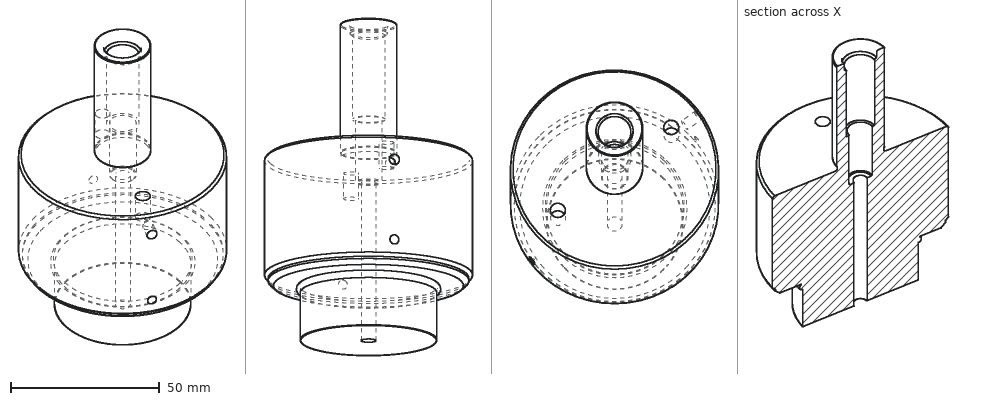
import cadquery as cq
import math

total_height = 109.0
body_bottom = 19.0
lower_step_bottom = 20.6
lower_step_top = 21.4
body_top = 63.0

body_radius = 70.0 / 2
body_top_chamfer = 0.9
step_radius = 33.8
bottom_chamfer = 1.9
step_chamfer = body_radius - step_radius

spigot_radius = 46.0 / 2
spigot_chamfer = 0.2
ring_section_radius = 1.25
ring_drop = 1.2
ring_height = body_bottom - ring_drop

stem_radius = 19.1 / 2
stem_end_chamfer = 0.3
neck_radius = 18.7 / 2
neck_fillet = 0.7
neck_top = 64.6
stem_foot = neck_top + stem_end_chamfer

mouth_radius = 12.5 / 2
mouth_rounding = 1.0
mouth_depth = 3.0
stem_bore_radius = 11.0 / 2
seat_half_angle = math.radians(45)
seat_depth = mouth_depth + (mouth_radius - stem_bore_radius) / math.tan(seat_half_angle)
stem_bore_depth = 32.7
middle_bore_radius = 9.0 / 2
middle_bore_depth = 54.5
middle_bore_chamfer = 0.3
through_radius = 5.0 / 2

pin_hole_diameter = 5.0
pin_hole_depth = 8.7
pin_hole_offset = 24.0

dimple_radius = 3.2 / 2
dimple_half_angle = math.radians(59)
dimple_depth = dimple_radius / math.tan(dimple_half_angle)
dimple_height = 27.1

side_hole_diameter = 3.5
side_hole_depth = 5.5
side_hole_height = 54.7


def rounding_midpoint_offset(radius):
    return radius * (1 - math.sqrt(0.5))


def turned_body():
    ring_start_radius = spigot_radius + math.sqrt(
        ring_section_radius**2 - ring_drop**2
    )
    diagonal = rounding_midpoint_offset(neck_fillet)
    return (
        cq.Workplane("XZ")
        .lineTo(spigot_radius - spigot_chamfer, 0)
        .lineTo(spigot_radius, spigot_chamfer)
        .lineTo(spigot_radius, ring_height - ring_section_radius)
        .threePointArc(
            (spigot_radius + ring_section_radius, ring_height),
            (ring_start_radius, body_bottom),
        )
        .lineTo(step_radius - bottom_chamfer, body_bottom)
        .lineTo(step_radius, lower_step_bottom)
        .lineTo(step_radius, lower_step_top)
        .lineTo(body_radius, lower_step_top + step_chamfer)
        .lineTo(body_radius, body_top - body_top_chamfer)
        .lineTo(body_radius - body_top_chamfer, body_top)
        .lineTo(neck_radius + neck_fillet, body_top)
        .threePointArc(
            (neck_radius + diagonal, body_top + diagonal),
            (neck_radius, body_top + neck_fillet),
        )
        .lineTo(neck_radius, neck_top)
        .lineTo(stem_radius, stem_foot)
        .lineTo(stem_radius, total_height - stem_end_chamfer)
        .lineTo(stem_radius - stem_end_chamfer, total_height)
        .lineTo(0, total_height)
        .close()
        .revolve(360, (0, 0, 0), (0, 1, 0))
    )


def axial_bore():
    diagonal = rounding_midpoint_offset(mouth_rounding)
    return (
        cq.Workplane("XZ")
        .lineTo(through_radius, 0)
        .lineTo(through_radius, total_height - middle_bore_depth)
        .lineTo(middle_bore_radius - middle_bore_chamfer, total_height - middle_bore_depth)
        .lineTo(middle_bore_radius, total_height - middle_bore_depth + middle_bore_chamfer)
        .lineTo(middle_bore_radius, total_height - stem_bore_depth)
        .lineTo(stem_bore_radius, total_height - stem_bore_depth)
        .lineTo(stem_bore_radius, total_height - seat_depth)
        .lineTo(mouth_radius, total_height - mouth_depth)
        .lineTo(mouth_radius, total_height - mouth_rounding)
        .threePointArc(
            (mouth_radius + diagonal, total_height - diagonal),
            (mouth_radius + mouth_rounding, total_height),
        )
        .lineTo(0, total_height)
        .close()
        .revolve(360, (0, 0, 0), (0, 1, 0))
    )


def pin_holes():
    return (
        cq.Workplane("XY", origin=(0, 0, body_top))
        .pushPoints([(-pin_hole_offset, 0), (pin_hole_offset, 0)])
        .circle(pin_hole_diameter / 2)
        .extrude(-pin_hole_depth)
    )


def dimple(side):
    cone = cq.Solid.makeCone(
        dimple_radius,
        0,
        dimple_depth,
        cq.Vector(side * body_radius, 0, dimple_height),
        cq.Vector(-side, 0, 0),
    )
    return cq.Workplane(obj=cone)


def side_hole():
    return (
        cq.Workplane("YZ", origin=(body_radius, 0, side_hole_height))
        .circle(side_hole_diameter / 2)
        .extrude(-side_hole_depth)
    )


result = turned_body().cut(axial_bore()).cut(pin_holes()).cut(side_hole())
for side in (-1, 1):
    result = result.cut(dimple(side))